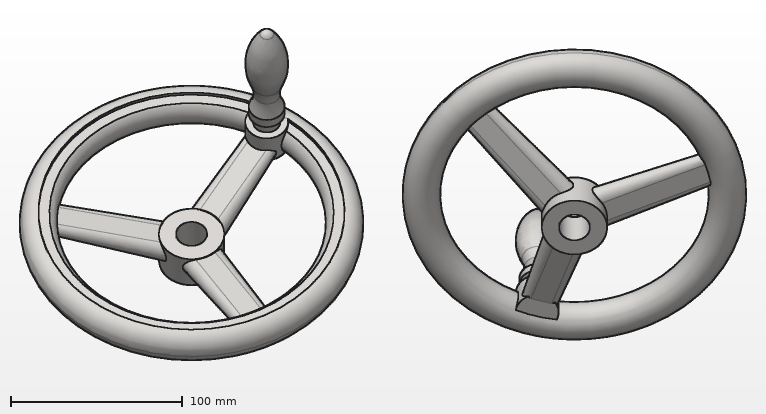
import cadquery as cq
import math

HUB_DIAMETER = 38.0
HUB_HEIGHT = 24.0
BORE_DIAMETER = 18.0

WHEEL_DIAMETER = 200.0
RIM_SECTION_RADIUS = 11.0
RIM_BOTTOM_Z = 23.0
RIM_RECESS_DEPTH = 2.0
RIM_RADIUS = WHEEL_DIAMETER / 2 - RIM_SECTION_RADIUS
RIM_MID_Z = RIM_BOTTOM_Z + RIM_SECTION_RADIUS
RIM_TOP_Z = RIM_BOTTOM_Z + 2 * RIM_SECTION_RADIUS

SPOKE_COUNT = 3
FIRST_SPOKE_ANGLE = 90.0
SPOKE_FLAT_WIDTH = 12.6
SPOKE_START_Z = 12.4
SPOKE_START_THICKNESS = 14.0
SPOKE_END_THICKNESS = 8.0

HANDLE_Y = 80.0
BOSS_DIAMETER = 25.0
BOSS_HEIGHT = 20.0

HANDLE_TOP_Z = 128.0
STEM_RADIUS = 8.0
COLLAR_RADIUS = 10.5
COLLAR_BOTTOM_Z = 53.0
COLLAR_TOP_Z = 59.5
NECK_RADIUS = 7.7
NECK_Z = 71.0
GRIP_START_RADIUS = 9.0
GRIP_START_Z = 80.0
GRIP_RADIUS = 12.5
GRIP_MIDDLE_Z = 101.0
TIP_RADIUS = 4.0
TIP_START_Z = 125.8


def make_hub():
    return cq.Workplane("XY").circle(HUB_DIAMETER / 2).extrude(HUB_HEIGHT)


def make_rim():
    ring = (
        cq.Workplane("XZ")
        .center(RIM_RADIUS, RIM_MID_Z)
        .circle(RIM_SECTION_RADIUS)
        .revolve(360, (-RIM_RADIUS, 0, 0), (-RIM_RADIUS, 1, 0))
    )
    recess = (
        cq.Workplane("XY")
        .workplane(offset=RIM_TOP_Z - RIM_RECESS_DEPTH)
        .circle(RIM_RADIUS)
        .extrude(RIM_RECESS_DEPTH)
    )
    return ring.cut(recess)


def make_spoke(angle):
    """A spoke from the wheel axis to the middle of the rim section."""
    rise = RIM_MID_Z - SPOKE_START_Z
    length = math.hypot(RIM_RADIUS, rise)
    start = cq.Plane(origin=(0, 0, SPOKE_START_Z), xDir=(0, 1, 0), normal=(RIM_RADIUS, 0, rise))
    spoke = (
        cq.Workplane(start)
        .slot2D(SPOKE_FLAT_WIDTH + SPOKE_START_THICKNESS, SPOKE_START_THICKNESS)
        .workplane(offset=length)
        .slot2D(SPOKE_FLAT_WIDTH + SPOKE_END_THICKNESS, SPOKE_END_THICKNESS)
        .loft(ruled=True)
    )
    return spoke.rotate((0, 0, 0), (0, 0, 1), angle)


def make_boss():
    """A round boss, level with the rim top and cut off where the recess ends."""
    base = cq.Workplane("XY").workplane(offset=RIM_TOP_Z - BOSS_HEIGHT)
    boss = base.center(0, HANDLE_Y).circle(BOSS_DIAMETER / 2).extrude(BOSS_HEIGHT)
    recess_edge = base.circle(RIM_RADIUS).extrude(BOSS_HEIGHT)
    return boss.intersect(recess_edge)


def make_handle():
    """The stem starts inside the boss at mid rim height, so that handle and boss join."""
    collar_direction = (-1, 2)
    straight_up = (0, 1)
    tip_height = HANDLE_TOP_Z - TIP_START_Z
    tip_sphere_radius = (TIP_RADIUS**2 + tip_height**2) / (2 * tip_height)
    profile = (
        cq.Workplane("XZ")
        .moveTo(0, RIM_MID_Z)
        .lineTo(STEM_RADIUS, RIM_MID_Z)
        .lineTo(STEM_RADIUS, COLLAR_BOTTOM_Z)
        .lineTo(COLLAR_RADIUS, COLLAR_BOTTOM_Z)
        .lineTo(COLLAR_RADIUS, COLLAR_TOP_Z)
        .spline([(NECK_RADIUS, NECK_Z)], tangents=[collar_direction, straight_up], includeCurrent=True)
        .tangentArcPoint((GRIP_START_RADIUS, GRIP_START_Z), relative=False)
        .threePointArc((GRIP_RADIUS, GRIP_MIDDLE_Z), (TIP_RADIUS, TIP_START_Z))
        .radiusArc((0, HANDLE_TOP_Z), -tip_sphere_radius)
        .close()
    )
    return profile.revolve(360, (0, 0, 0), (0, 1, 0)).translate((0, HANDLE_Y, 0))


result = make_hub().union(make_rim()).union(make_boss())
for index in range(SPOKE_COUNT):
    result = result.union(make_spoke(FIRST_SPOKE_ANGLE + index * 360 / SPOKE_COUNT))
result = result.union(make_handle())

bore = cq.Workplane("XY").circle(BORE_DIAMETER / 2).extrude(HUB_HEIGHT)
result = result.cut(bore)